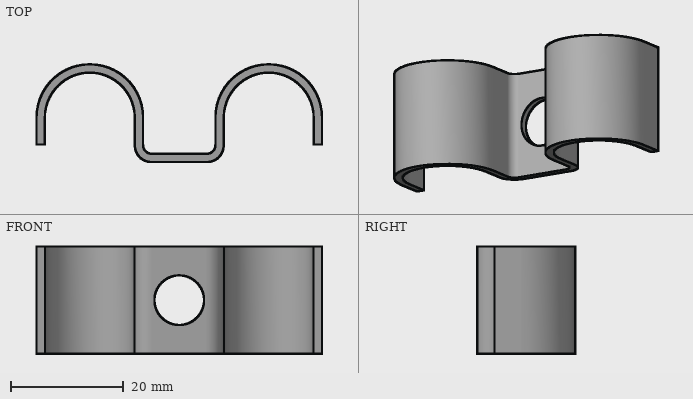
import cadquery as cq

length = 50.65
depth = 17.4
strip_width = 19.05
thickness = 1.5
saddle_outer_radius = 9.5
bend_outer_radius = 3.0
end_leg = 4.8
hole_diameter = 8.75

saddle_inner_radius = saddle_outer_radius - thickness
bend_inner_radius = bend_outer_radius - thickness
saddle_x = length / 2 - saddle_outer_radius
web_half_width = saddle_x - saddle_inner_radius
web_y = saddle_outer_radius - depth


def saddle(center_x):
    """Half ring, open towards -Y."""
    ring = (
        cq.Workplane("XY")
        .center(center_x, 0)
        .circle(saddle_outer_radius)
        .circle(saddle_inner_radius)
        .extrude(strip_width)
    )
    upper_half = (
        cq.Workplane("XY")
        .center(center_x, 0)
        .rect(2 * saddle_outer_radius, saddle_outer_radius)
        .extrude(strip_width)
        .translate((0, saddle_outer_radius / 2, 0))
    )
    return ring.intersect(upper_half)


def end_tab(side):
    """Straight outer leg of a saddle; side is -1 or 1."""
    return (
        cq.Workplane("XY")
        .center(side * (length - thickness) / 2, -end_leg / 2)
        .rect(thickness, end_leg)
        .extrude(strip_width)
    )


def channel_block(half_width, bottom_y, bend_radius):
    """Solid block with its two lower edges rounded."""
    return (
        cq.Workplane("XY")
        .center(0, bottom_y / 2)
        .rect(2 * half_width, -bottom_y)
        .extrude(strip_width)
        .edges("|Z").edges("<Y")
        .fillet(bend_radius)
    )


channel = channel_block(web_half_width, web_y, bend_outer_radius).cut(
    channel_block(web_half_width - thickness, web_y + thickness, bend_inner_radius)
)

clip = channel
for side in (-1, 1):
    clip = clip.union(saddle(side * saddle_x)).union(end_tab(side))

screw_hole = (
    cq.Workplane("XZ", origin=(0, 0, strip_width / 2))
    .circle(hole_diameter / 2)
    .extrude(-web_y)
)

result = clip.cut(screw_hole)